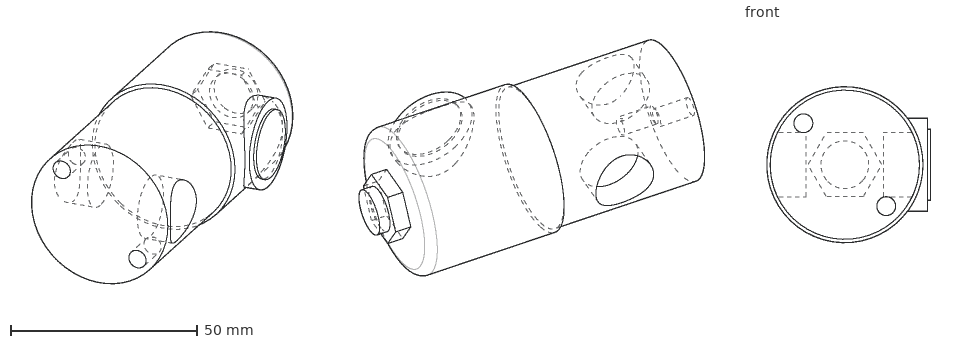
import cadquery as cq
import math

TOTAL_LENGTH = 90.4

BASE_DIAMETER = 40.1
BASE_LENGTH = 42.05
PORT_DIAMETER = 17.3
PORT_DEPTH = 9.7
LEFT_PORT_Y = 23.9
RIGHT_PORT_Y = 10.3
MOUNT_HOLE_DIAMETER = 5.1
MOUNT_HOLE_DEPTH = 10.0
MOUNT_HOLE_OFFSET = 11.1

CLEARANCE = 0.4
HOUSING_START_Y = BASE_LENGTH + CLEARANCE

HOUSING_DIAMETER = 42.0
HOUSING_FILLET = 2.5
STUB_DIAMETER = 12.8
STUB_LENGTH = 3.1
HEX_ACROSS_FLATS = 17.2
HEX_LENGTH = 4.5
HOUSING_END_Y = TOTAL_LENGTH - STUB_LENGTH - HEX_LENGTH
BOSS_Y = 61.5
BOSS_DIAMETER = 25.05
BOSS_RIM_DIAMETER = 19.2
BOSS_RIM_HEIGHT = 0.8
BOSS_RIM_X = 23.1
BOSS_FACE_X = BOSS_RIM_X - BOSS_RIM_HEIGHT


def plane_along_y(y):
    """Plane normal to +Y, with local x along X and local y along -Z."""
    return cq.Workplane(cq.Plane(origin=(0, y, 0), xDir=(1, 0, 0), normal=(0, 1, 0)))


def cylinder_along_y(y, diameter, length):
    return plane_along_y(y).circle(diameter / 2).extrude(length)


def cylinder_along_x(x, y, diameter, length):
    """Cylinder from x along +X, or along -X for a negative length."""
    return cq.Workplane("YZ", origin=(x, y, 0)).circle(diameter / 2).extrude(length)


def make_base():
    base = cylinder_along_y(0, BASE_DIAMETER, BASE_LENGTH)

    for side, port_y in ((-1, LEFT_PORT_Y), (1, RIGHT_PORT_Y)):
        base = base.cut(cylinder_along_x(side * BASE_DIAMETER / 2, port_y, PORT_DIAMETER, -side * PORT_DEPTH))

    mount_holes = (
        plane_along_y(0)
        .pushPoints([(side * MOUNT_HOLE_OFFSET, side * MOUNT_HOLE_OFFSET) for side in (-1, 1)])
        .circle(MOUNT_HOLE_DIAMETER / 2)
        .extrude(MOUNT_HOLE_DEPTH)
    )
    return base.cut(mount_holes)


def make_housing():
    housing = cylinder_along_y(HOUSING_START_Y, HOUSING_DIAMETER, HOUSING_END_Y - HOUSING_START_Y)
    housing = housing.faces(">Y").edges().fillet(HOUSING_FILLET)

    boss = cylinder_along_x(0, BOSS_Y, BOSS_DIAMETER, BOSS_FACE_X)
    boss_rim = cylinder_along_x(BOSS_FACE_X, BOSS_Y, BOSS_RIM_DIAMETER, BOSS_RIM_HEIGHT)

    hex_across_corners = HEX_ACROSS_FLATS / math.cos(math.pi / 6)
    hexagon = plane_along_y(HOUSING_END_Y).polygon(6, hex_across_corners).extrude(HEX_LENGTH)
    stub = cylinder_along_y(HOUSING_END_Y + HEX_LENGTH, STUB_DIAMETER, STUB_LENGTH)

    return housing.union(boss).union(boss_rim).union(hexagon).union(stub)


base = make_base()
housing = make_housing()
result = cq.Compound.makeCompound([base.val(), housing.val()])